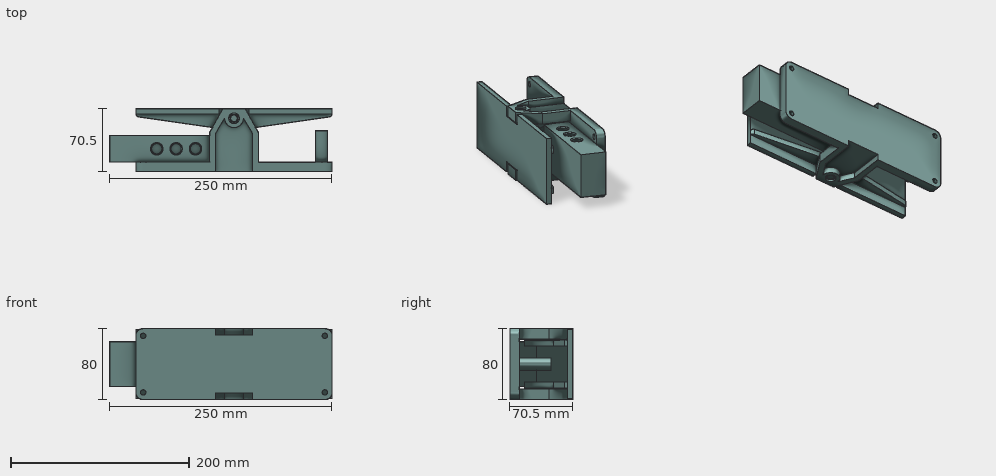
import cadquery as cq


TOTAL_LENGTH = 250.0
TOTAL_WIDTH = 80.0
TOTAL_HEIGHT = 70.5
HALF_WIDTH = TOTAL_WIDTH / 2

PLATE_LENGTH = 220.5
PLATE_THICKNESS = 10.5
PLATE_CORNER_RADIUS = 8.2
MOUNT_HOLE_DIAMETER = 6.0
HALF_LENGTH = PLATE_LENGTH / 2

TOWER_WIDTH = 55.0
TOWER_TOP_WIDTH = 25.0
TOWER_SHOULDER_HEIGHT = 43.8
TOWER_THICKNESS = 12.2
RECESS_WIDTH = 41.5
RECESS_SHOULDER_HEIGHT = 42.8
RECESS_DEPTH = 7.5
PIVOT_HEIGHT = 59.8
BOSS_DIAMETER = 21.0
PIVOT_HOLE_DIAMETER = 9.0
PIVOT_COUNTERBORE_DIAMETER = 12.0
PIVOT_COUNTERBORE_DEPTH = 2.5

BOX_HEIGHT = 30.0
BOX_WIDTH = 50.5
BOX_INNER_X = -22.5
PORT_HOLE_DIAMETER = 11.5
PORT_RIM_DIAMETER = 14.0
PORT_DEPTH = 5.0
PORT_SPACING = 21.8
PORT_MIDDLE_X = -65.0

POST_DIAMETER = 14.0
POST_TOP = 46.0
POST_X = 98.2

TREAD_THICKNESS = 6.0
TREAD_WIDTH = 77.5
TREAD_NOTCH_WIDTH = 33.8
RIB_CLEARANCE = 0.8
RIB_THICKNESS = 6.8
RIB_NOSE_LENGTH = 2.8
RIB_NOSE_HEIGHT = 3.2
RIB_NOSE_RADIUS = 5.0
RIB_ROOT_X = 22.0
RIB_ROOT_HEIGHT = 49.0
LUG_TIP_HEIGHT = 16.2
WEB_THICKNESS = 7.5
WEB_BOTTOM = 30.0
PIVOT_PIN_DIAMETER = 7.5
PIVOT_PIN_PROTRUSION = 1.0

TOWER_INNER_Z = HALF_WIDTH - TOWER_THICKNESS
RIB_OUTER_Z = TOWER_INNER_Z - RIB_CLEARANCE
RIB_INNER_Z = RIB_OUTER_Z - RIB_THICKNESS
TREAD_BOTTOM = TOTAL_HEIGHT - TREAD_THICKNESS


def span_box(x_range, y_range, z_range):
    """Box between the given lower and upper limits on each axis."""
    size = [high - low for low, high in (x_range, y_range, z_range)]
    return cq.Workplane("XY").box(*size, centered=False).translate((x_range[0], y_range[0], z_range[0]))


def cylinder_z(diameter, x, y, z_low, z_high):
    """Cylinder along Z."""
    return cq.Workplane("XY", origin=(x, y, z_low)).circle(diameter / 2).extrude(z_high - z_low)


def cylinder_y(diameter, x, z, y_low, y_high):
    """Cylinder along Y."""
    return cq.Workplane("XZ", origin=(x, y_low, z)).circle(diameter / 2).extrude(y_low - y_high)


def prism_z(points, z_low, z_high):
    """Closed XY outline extruded along Z."""
    return cq.Workplane("XY", origin=(0, 0, z_low)).polyline(points).close().extrude(z_high - z_low)


def both_sides(shape):
    """The shape together with its mirror image across Z = 0."""
    return shape.union(shape.mirror("XY"))


def make_plate():
    plate = span_box((-HALF_LENGTH, HALF_LENGTH), (0, PLATE_THICKNESS), (-HALF_WIDTH, HALF_WIDTH))
    plate = plate.edges("|Y").fillet(PLATE_CORNER_RADIUS)
    hole_x = HALF_LENGTH - PLATE_CORNER_RADIUS
    hole_z = HALF_WIDTH - PLATE_CORNER_RADIUS
    for x in (-hole_x, hole_x):
        for z in (-hole_z, hole_z):
            plate = plate.cut(cylinder_y(MOUNT_HOLE_DIAMETER, x, z, 0, PLATE_THICKNESS))
    return plate


def make_tower():
    half = TOWER_WIDTH / 2
    half_top = TOWER_TOP_WIDTH / 2
    outline = [
        (-half, 0),
        (half, 0),
        (half, TOWER_SHOULDER_HEIGHT),
        (half_top, TOTAL_HEIGHT),
        (-half_top, TOTAL_HEIGHT),
        (-half, TOWER_SHOULDER_HEIGHT),
    ]
    return prism_z(outline, TOWER_INNER_Z, HALF_WIDTH)


def make_tower_recess():
    """Outer-face recess that leaves a round boss standing around the pivot."""
    half = RECESS_WIDTH / 2
    boss_radius = BOSS_DIAMETER / 2
    outline = [
        (-half, 0),
        (half, 0),
        (half, RECESS_SHOULDER_HEIGHT),
        (boss_radius, PIVOT_HEIGHT),
        (-boss_radius, PIVOT_HEIGHT),
        (-half, RECESS_SHOULDER_HEIGHT),
    ]
    floor_z = HALF_WIDTH - RECESS_DEPTH
    recess = prism_z(outline, floor_z, HALF_WIDTH)
    return recess.cut(cylinder_z(BOSS_DIAMETER, 0, PIVOT_HEIGHT, floor_z, HALF_WIDTH))


def make_pivot_hole():
    counterbore_z = HALF_WIDTH - PIVOT_COUNTERBORE_DEPTH
    hole = cylinder_z(PIVOT_HOLE_DIAMETER, 0, PIVOT_HEIGHT, TOWER_INNER_Z, HALF_WIDTH)
    counterbore = cylinder_z(PIVOT_COUNTERBORE_DIAMETER, 0, PIVOT_HEIGHT, counterbore_z, HALF_WIDTH)
    return hole.union(counterbore)


def make_switch_box():
    """Box on the plate with a row of blind, countersunk port holes in its upper Z side."""
    x_range = (HALF_LENGTH - TOTAL_LENGTH, BOX_INNER_X)
    top = PLATE_THICKNESS + BOX_HEIGHT
    half_width = BOX_WIDTH / 2
    box = span_box(x_range, (PLATE_THICKNESS, top), (-half_width, half_width))
    port_y = PLATE_THICKNESS + BOX_HEIGHT / 2
    rim_width = (PORT_RIM_DIAMETER - PORT_HOLE_DIAMETER) / 2
    for step in (-1, 0, 1):
        port_x = PORT_MIDDLE_X + step * PORT_SPACING
        bore = cylinder_z(PORT_HOLE_DIAMETER, port_x, port_y, half_width - PORT_DEPTH, half_width)
        rim = cq.Solid.makeCone(PORT_HOLE_DIAMETER / 2, PORT_RIM_DIAMETER / 2, rim_width,
                                cq.Vector(port_x, port_y, half_width - rim_width))
        box = box.cut(bore).cut(cq.Workplane(rim))
    return box


def make_base():
    base = make_plate().union(both_sides(make_tower()))
    base = base.cut(both_sides(make_tower_recess()))
    base = base.cut(both_sides(make_pivot_hole()))
    base = base.union(make_switch_box())
    return base.union(cylinder_y(POST_DIAMETER, POST_X, 0, 0, POST_TOP))


def make_tread():
    """Flat tread, notched on both long sides to clear the towers."""
    half_width = TREAD_WIDTH / 2
    half_notch = TREAD_NOTCH_WIDTH / 2
    y_range = (TREAD_BOTTOM, TOTAL_HEIGHT)
    tread = span_box((-HALF_LENGTH, HALF_LENGTH), y_range, (-half_width, half_width))
    notch = span_box((-half_notch, half_notch), y_range, (RIB_OUTER_Z, half_width))
    return tread.cut(both_sides(notch))


def make_rib():
    """Rib under the tread, deepening toward the pivot into a pointed lug between the towers."""
    nose_x = HALF_LENGTH - RIB_NOSE_LENGTH
    nose_y = TREAD_BOTTOM - RIB_NOSE_HEIGHT
    outline = (
        cq.Workplane("XY", origin=(0, 0, RIB_INNER_Z))
        .moveTo(-HALF_LENGTH, TREAD_BOTTOM)
        .radiusArc((-nose_x, nose_y), -RIB_NOSE_RADIUS)
        .lineTo(-RIB_ROOT_X, RIB_ROOT_HEIGHT)
        .lineTo(0, LUG_TIP_HEIGHT)
        .lineTo(RIB_ROOT_X, RIB_ROOT_HEIGHT)
        .lineTo(nose_x, nose_y)
        .radiusArc((HALF_LENGTH, TREAD_BOTTOM), -RIB_NOSE_RADIUS)
        .close()
    )
    return outline.extrude(RIB_THICKNESS)


def make_pedal():
    pin_end = HALF_WIDTH - PIVOT_COUNTERBORE_DEPTH + PIVOT_PIN_PROTRUSION
    pin = cylinder_z(PIVOT_PIN_DIAMETER, 0, PIVOT_HEIGHT, RIB_INNER_Z, pin_end)
    half_web = WEB_THICKNESS / 2
    web = span_box((-half_web, half_web), (WEB_BOTTOM, TREAD_BOTTOM), (-RIB_INNER_Z, RIB_INNER_Z))
    pedal = make_tread().union(both_sides(make_rib()))
    return pedal.union(web).union(both_sides(pin))


base = make_base()
pedal = make_pedal()
result = cq.Compound.makeCompound([base.val(), pedal.val()])